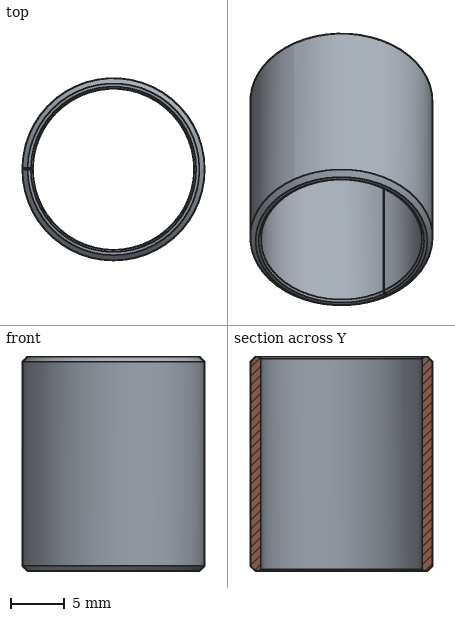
import cadquery as cq

outer_diameter = 17.0
inner_diameter = 15.0
length = 20.0
outer_chamfer = 0.5
inner_chamfer = 0.2
slit_angle = 1.0

outer_radius = outer_diameter / 2
inner_radius = inner_diameter / 2


def make_sleeve():
    """Revolve the wall section, chamfered at both ends inside and outside."""
    top = length / 2
    section = [
        (inner_radius, -top + inner_chamfer),
        (inner_radius + inner_chamfer, -top),
        (outer_radius - outer_chamfer, -top),
        (outer_radius, -top + outer_chamfer),
        (outer_radius, top - outer_chamfer),
        (outer_radius - outer_chamfer, top),
        (inner_radius + inner_chamfer, top),
        (inner_radius, top - inner_chamfer),
    ]
    return cq.Workplane("XZ").polyline(section).close().revolve(360, (0, 0, 0), (0, 1, 0))


def make_slit():
    """Radial wedge that opens the wall over its full length on the -X side."""
    clearance = 0.5
    height = length + 2 * clearance
    inner_edge = inner_radius - clearance
    outer_edge = outer_radius + clearance
    mid_radius = (inner_edge + outer_edge) / 2
    return (
        cq.Workplane("XZ")
        .center(-mid_radius, 0)
        .rect(outer_edge - inner_edge, height)
        .revolve(slit_angle, (mid_radius, 0, 0), (mid_radius, -1, 0))
    )


result = make_sleeve().cut(make_slit())